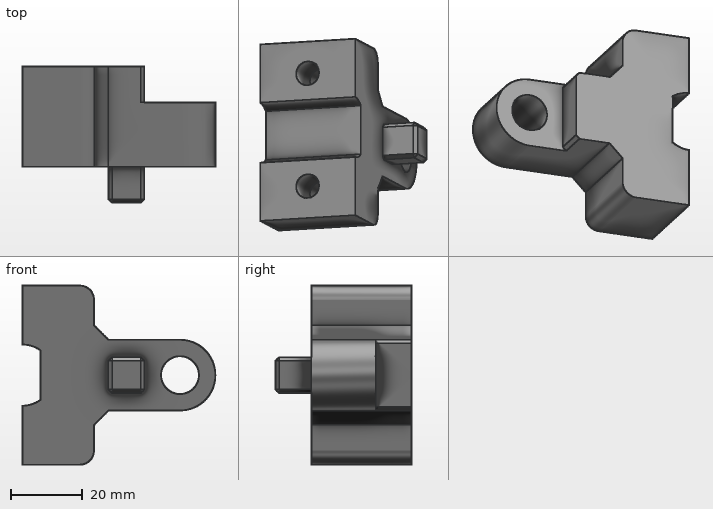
import cadquery as cq
import math

length = 53.85
height = 50.0
depth = 28.0

block_width = 20.0
block_corner_radius = 4.0

lug_radius = 9.9
lug_depth = 18.0
flare = 4.0
cross_hole_diameter = 10.5
cross_hole_x = length - lug_radius

pin_side = 10.0
pin_length = 10.0
edge_chamfer = 1.0
pin_x = block_width + flare

channel_radius = 8.5
channel_depth = 5.0

mount_hole_diameter = 6.75
mount_hole_offset = 16.0
mount_hole_depth = 12.0
drill_point_angle = 118.0


def box(x_start, x_size, y_start, y_size, z_size):
    """Box placed by its low X and Y sides and centred on Z = 0."""
    return cq.Workplane("XY").box(x_size, y_size, z_size, centered=(False, False, True)).translate(
        (x_start, y_start, 0)
    )


def cross_cylinder(x, radius, y_size):
    """Cylinder along Y from Y = 0, with its axis at Z = 0."""
    return cq.Workplane("XZ").center(x, 0).circle(radius).extrude(-y_size)


def mounting_block():
    block = box(0, block_width, 0, depth, height)
    return block.edges("|Y and >X").fillet(block_corner_radius)


def flare_web():
    """Tapered web that joins the block to the lug."""
    wide = lug_radius + flare
    outline = [(block_width, -wide), (pin_x, -lug_radius), (pin_x, lug_radius), (block_width, wide)]
    return cq.Workplane("XZ").polyline(outline).close().extrude(-depth)


def rear_shoulder():
    """Full-depth shoulder with its two outer long edges chamfered."""
    shoulder = box(pin_x, pin_side, 0, depth, 2 * lug_radius)
    return shoulder.edges("|Y and >X").chamfer(edge_chamfer)


def lug():
    bar = box(pin_x, cross_hole_x - pin_x, 0, lug_depth, 2 * lug_radius)
    return bar.union(cross_cylinder(cross_hole_x, lug_radius, lug_depth))


def locating_pin():
    pin = box(pin_x, pin_side, -pin_length, pin_length, pin_side)
    return pin.edges("|Y or <Y").chamfer(edge_chamfer)


def channel():
    """Part of a round channel, cut off by a flat floor."""
    floor_limit = box(0, channel_depth, 0, depth, 2 * channel_radius)
    return cross_cylinder(0, channel_radius, depth).intersect(floor_limit)


def mount_hole(z):
    """Blind hole along X with a conical bottom, revolved about its own axis."""
    radius = mount_hole_diameter / 2
    point_length = radius / math.tan(math.radians(drill_point_angle / 2))
    tip = mount_hole_depth + point_length
    half_profile = [(0, 0), (tip, 0), (mount_hole_depth, radius), (0, radius)]
    hole = cq.Workplane("XY").polyline(half_profile).close().revolve(360, (0, 0), (1, 0))
    return hole.translate((0, depth / 2, z))


result = mounting_block()
for feature in (flare_web(), rear_shoulder(), lug(), locating_pin()):
    result = result.union(feature)
result = result.cut(channel())
result = result.cut(cross_cylinder(cross_hole_x, cross_hole_diameter / 2, lug_depth))
for side in (-1, 1):
    result = result.cut(mount_hole(side * mount_hole_offset))
result = result.clean()